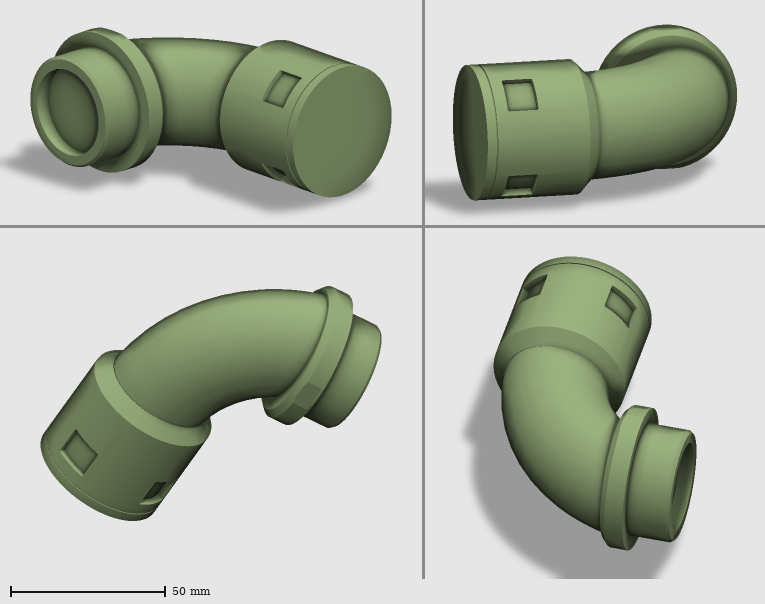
import cadquery as cq
import math


spigot_diameter = 37.0
spigot_length = 14.1
spigot_chamfer_length = 1.1
spigot_chamfer_depth = 0.8
recess_diameter = 29.0
recess_depth = 4.9

flange_diameter = 47.0
flange_thickness = 7.9
flange_chamfer = 2.0
flat_width = 9.5
flat_margin = 0.8

overall_length = 98.1
overall_width = 74.0
socket_diameter = 44.0
socket_length = 34.4
groove_offset = 3.0
groove_width = 0.5
groove_depth = 0.5

window_count = 4
window_first_angle = 45.0
window_length = 10.3
window_width = 12.0
window_end_offset = 7.6
window_depth = 2.4
window_corner_radius = 0.5

tube_diameter = 35.0
bend_radius = 46.2
bend_centre_x = 41.2

flange_radius = flange_diameter / 2
flange_top = spigot_length + flange_thickness
socket_radius = socket_diameter / 2
socket_axis_y = overall_width - socket_radius
socket_end = overall_length - flange_radius
socket_start = socket_end - socket_length
tube_radius = tube_diameter / 2
cone_length = socket_radius - tube_radius


def make_collar():
    """Spigot and flange, turned about the Y axis."""
    spigot_radius = spigot_diameter / 2
    recess_radius = recess_diameter / 2
    return (
        cq.Workplane("XY")
        .moveTo(0, recess_depth)
        .lineTo(recess_radius, recess_depth)
        .lineTo(recess_radius, 0)
        .lineTo(spigot_radius - spigot_chamfer_depth, 0)
        .lineTo(spigot_radius, spigot_chamfer_length)
        .lineTo(spigot_radius, spigot_length)
        .lineTo(flange_radius, spigot_length)
        .lineTo(flange_radius, flange_top - flange_chamfer)
        .lineTo(flange_radius - flange_chamfer, flange_top)
        .lineTo(0, flange_top)
        .close()
        .revolve(360, (0, 0, 0), (0, 1, 0))
    )


def make_flats():
    """Cutters for the flats on the +Z and -Z sides of the flange."""
    flat_distance = math.sqrt(flange_radius**2 - (flat_width / 2) ** 2)
    flat_start = spigot_length + flat_margin
    cutter = cq.Workplane("XY").box(
        flat_width, flange_thickness, flange_radius, centered=(True, False, False)
    )
    upper = cutter.translate((0, flat_start, flat_distance))
    return upper.union(upper.mirror("XY"))


def make_tube():
    """Bent tube: part of a ring that meets the socket squarely and ends inside the flange."""
    tube_section = cq.Workplane("YZ", origin=(bend_centre_x, socket_axis_y, 0)).circle(tube_radius)
    quarter_bend = tube_section.revolve(90, (-bend_radius, 0, 0), (-bend_radius, 1, 0))
    keep_size = 2 * overall_length
    beyond_flange_face = (
        cq.Workplane("XY")
        .box(keep_size, keep_size, keep_size, centered=(True, False, True))
        .translate((0, spigot_length + flat_margin, 0))
    )
    return quarter_bend.intersect(beyond_flange_face)


def make_socket():
    """Socket with its cone and ring groove, turned about its own axis along X."""
    groove_end = socket_end - groove_offset
    groove_start = groove_end - groove_width
    groove_radius = socket_radius - groove_depth
    return (
        cq.Workplane("XY", origin=(0, socket_axis_y, 0))
        .moveTo(socket_start - cone_length, 0)
        .lineTo(socket_start - cone_length, tube_radius)
        .lineTo(socket_start, socket_radius)
        .lineTo(groove_start, socket_radius)
        .lineTo(groove_start, groove_radius)
        .lineTo(groove_end, groove_radius)
        .lineTo(groove_end, socket_radius)
        .lineTo(socket_end, socket_radius)
        .lineTo(socket_end, 0)
        .close()
        .revolve(360, (0, 0, 0), (1, 0, 0))
    )


def make_windows():
    """Cutters for the windows, each with a floor concentric with the socket."""
    block_base = socket_radius / 2
    window_start = socket_end - window_end_offset - window_length
    floor_core = (
        cq.Workplane("YZ", origin=(window_start, 0, 0))
        .circle(socket_radius - window_depth)
        .extrude(window_length)
    )
    block = (
        cq.Workplane("XY")
        .box(window_length, window_width, socket_radius, centered=(False, True, False))
        .edges("|Z")
        .fillet(window_corner_radius)
        .translate((window_start, 0, block_base))
        .cut(floor_core)
    )
    windows = cq.Workplane("XY")
    for index in range(window_count):
        angle = window_first_angle + index * 360 / window_count
        windows = windows.add(block.rotate((0, 0, 0), (1, 0, 0), angle))
    return windows.combine().translate((0, socket_axis_y, 0))


collar = make_collar().cut(make_flats())
socket = make_socket().cut(make_windows())
result = collar.union(make_tube()).union(socket)